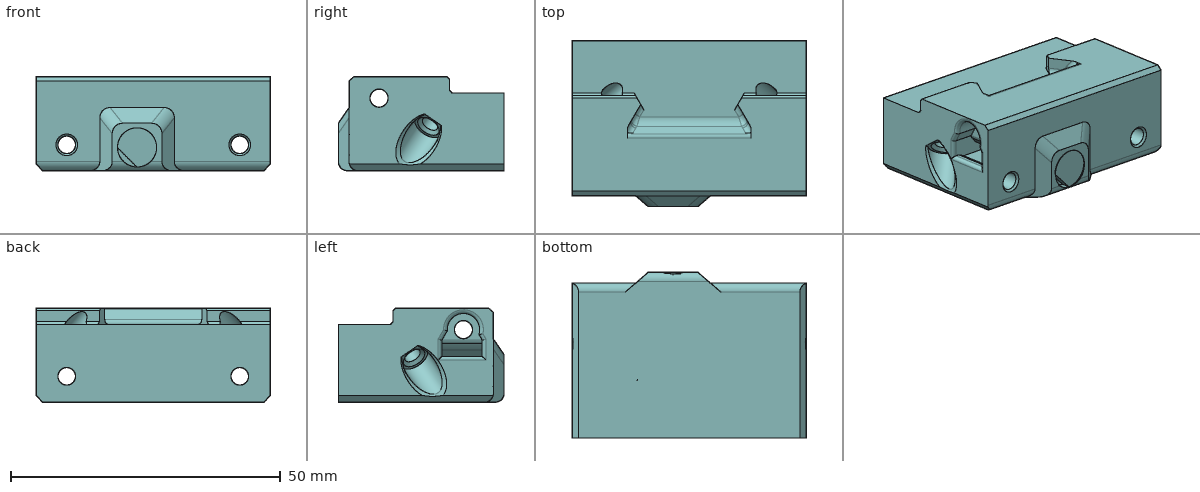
import cadquery as cq
import math

length = 43.45
depth = 28.75
height = 17.45
front_bottom_radius = 1.7
side_chamfer_width = 1.2
side_chamfer_height = 1.3
top_chamfer_depth = 0.9
top_chamfer_height = 0.8

step_floor = 14.47
step_wall = 18.65
step_chamfer = 0.48
step_back_y = step_wall + step_chamfer

neck_half_width = 9.0
neck_y = 16.95
pocket_front_y = 10.75
flank_angle = 60.0
ramp_start_y = 14.65
ramp_angle = 52.5
ramp_foot_run = 1.75
ramp_lip_run = 0.95
flank_foot_radius = 1.0
pocket_half_width = 11.47

boss_x = -3.0
boss_height = 2.0
boss_half_width = 4.6
boss_top = 8.82
boss_side_flare = 2.3
boss_top_flare = 2.9
boss_corner_radius = 1.9
disc_diameter = 7.25
disc_z = 4.35
disc_top_depth = 0.05
disc_edge_depth = 0.3
notch_depth = 2.6
notch_chord_angle = 45.0
notch_offset = 2.6

cross_hole_diameter = 3.2
cross_hole_mouth = 4.0
cross_hole_x = 16.05
cross_hole_z = 4.82

screw_hole_diameter = 3.2
screw_countersink_diameter = 4.5
screw_bore_diameter = 5.75
screw_mouth_y = 12.9
screw_mouth_z = 5.6
screw_turn_angle = 39.7
screw_rise_angle = 43.0
screw_bore_depth = 3.85
screw_mouth_chamfer = 0.5

long_hole_diameter = 3.3
long_hole_y = 5.55
long_hole_z = 13.47
recess_arc_radius = 3.0
recess_shoulder_z = 11.5
recess_base_y = 5.82
recess_half_width = 3.75
recess_shoulder_angle = 60.0
recess_sill = 8.5
recess_sill_depth = 1.4
recess_floor = 8.0
recess_floor_start = 2.6
recess_depth = 4.48
recess_mouth_radius = 0.7
undercut_angle = 60.0
undercut_edge_radius = 0.7
undercut_start_angle = 30.0
undercut_radius = 3.2


def extrude_along_x(profile):
    """Extrude a YZ outline over the full length of the body."""
    return profile.extrude(length / 2, both=True)


def make_cylinder(start, direction, diameter, reach):
    cylinder = cq.Solid.makeCylinder(diameter / 2, reach, cq.Vector(*start), cq.Vector(*direction))
    return cq.Workplane(cylinder)


def make_body():
    profile = (
        cq.Workplane("YZ")
        .moveTo(0, 0)
        .lineTo(depth, 0)
        .lineTo(depth, step_floor)
        .lineTo(step_back_y, step_floor)
        .lineTo(step_wall, step_floor + step_chamfer)
        .lineTo(step_wall, height - step_chamfer)
        .lineTo(step_wall - step_chamfer, height)
        .lineTo(top_chamfer_depth, height)
        .lineTo(0, height - top_chamfer_height)
        .close()
    )
    return extrude_along_x(profile).edges("<Y and <Z").fillet(front_bottom_radius)


def make_side_chamfer_cutter():
    """Bevel along the bottom edge of the left side."""
    side_x = -length / 2
    outline = [(side_x, 0), (side_x + side_chamfer_width, 0), (side_x, side_chamfer_height)]
    return cq.Workplane("XZ").polyline(outline).close().extrude(-depth)


def flank_half_width(y, widening):
    """Half width between flanks through the neck, growing toward +Y (1) or toward -Y (-1)."""
    return neck_half_width + widening * (y - neck_y) / math.tan(math.radians(flank_angle))


def make_flank_wedge(near_y, widening, top):
    """Vertical prism between a pair of flanks, from the given y back to the step."""
    near_half = flank_half_width(near_y, widening)
    far_half = flank_half_width(step_back_y, widening)
    outline = [(-near_half, near_y), (near_half, near_y), (far_half, step_back_y), (-far_half, step_back_y)]
    return cq.Workplane("XY", origin=(0, 0, step_floor)).polyline(outline).close().extrude(top - step_floor)


def make_dovetail_cutter():
    angle = math.radians(ramp_angle)
    foot_radius = ramp_foot_run / math.sin(angle)
    foot_mid = (
        ramp_start_y - foot_radius * math.sin(angle / 2),
        step_floor + foot_radius * (1 - math.cos(angle / 2)),
    )
    foot_end_y = ramp_start_y - ramp_foot_run
    foot_end_z = step_floor + foot_radius * (1 - math.cos(angle))
    lip_radius = ramp_lip_run / math.sin(angle)
    lip_mid = (
        pocket_front_y + lip_radius * math.sin(angle / 2),
        height - lip_radius * (1 - math.cos(angle / 2)),
    )
    lip_start_y = pocket_front_y + ramp_lip_run
    lip_start_z = foot_end_z + (foot_end_y - lip_start_y) * math.tan(angle)
    ramp_end_z = foot_end_z + foot_end_y * math.tan(angle)

    ramp = extrude_along_x(
        cq.Workplane("YZ")
        .moveTo(step_back_y, step_floor)
        .lineTo(ramp_start_y, step_floor)
        .threePointArc(foot_mid, (foot_end_y, foot_end_z))
        .lineTo(0, ramp_end_z)
        .lineTo(step_back_y, ramp_end_z)
        .close()
    )
    cutter = make_flank_wedge(0, -1, ramp_end_z).intersect(ramp)
    cutter = cutter.edges("(not #X) and (not |X) and (not >Z) and (not |Z)").fillet(flank_foot_radius)

    ends = cq.Workplane("XY").box(2 * pocket_half_width, depth, 2 * height, centered=(True, False, True))
    lip = (
        cq.Workplane("YZ")
        .moveTo(lip_start_y, lip_start_z)
        .threePointArc(lip_mid, (pocket_front_y, height))
        .lineTo(lip_start_y, height)
        .close()
        .extrude(pocket_half_width, both=True)
    )
    return cutter.intersect(ends).union(lip)


def make_neck_cutter():
    return make_flank_wedge(neck_y - flank_foot_radius, 1, height)


def make_boss_section(y):
    """Outline of the boss at the given y: square at the bottom, rounded at the two top corners."""
    flare = (y + boss_height) / boss_height
    half_width = boss_half_width + boss_side_flare * flare
    top = boss_top + boss_top_flare * flare
    radius = boss_corner_radius
    bevel = radius * (1 - math.sqrt(0.5))
    section = (
        cq.Workplane("XZ", origin=(boss_x, y, 0))
        .moveTo(-half_width, 0)
        .lineTo(half_width, 0)
        .lineTo(half_width, top - radius)
        .threePointArc((half_width - bevel, top - bevel), (half_width - radius, top))
        .lineTo(radius - half_width, top)
        .threePointArc((bevel - half_width, top - bevel), (-half_width, top - radius))
        .close()
    )
    return section.val()


def make_boss():
    """Flared boss whose sides carry on into the body behind the front face."""
    root_y = front_bottom_radius
    sections = [make_boss_section(root_y), make_boss_section(-boss_height)]
    boss = cq.Workplane(cq.Solid.makeLoft(sections, True))
    envelope = (
        cq.Workplane("XY", origin=(0, -boss_height, 0))
        .box(length, boss_height + root_y, height, centered=(True, False, False))
        .edges("<Y and <Z")
        .fillet(front_bottom_radius)
    )
    return boss.intersect(envelope)


def make_disc_cutter():
    """Shallow round recess in the boss face with a leaning floor."""
    radius = disc_diameter / 2
    front_y = -boss_height - disc_edge_depth
    lean = extrude_along_x(
        cq.Workplane("YZ")
        .moveTo(front_y, disc_z + radius)
        .lineTo(disc_top_depth - boss_height, disc_z + radius)
        .lineTo(disc_edge_depth - boss_height, disc_z - radius)
        .lineTo(front_y, disc_z - radius)
        .close()
    )
    return make_cylinder((boss_x, front_y, disc_z), (0, 1, 0), disc_diameter, boss_height).intersect(lean)


def make_notch_cutter():
    """Deeper segment of the round recess, cut off by a slanting chord at its lower left."""
    corner = (
        cq.Workplane("XZ", origin=(boss_x, 0, disc_z))
        .transformed(rotate=(0, 0, -notch_chord_angle))
        .center(0, -notch_offset - disc_diameter / 2)
        .rect(disc_diameter, disc_diameter)
        .extrude(2 * boss_height)
    )
    reach = boss_height + notch_depth
    start = (boss_x, -2 * boss_height, disc_z)
    return make_cylinder(start, (0, 1, 0), disc_diameter, reach).intersect(corner)


def make_cross_hole_cutter(x):
    """Through hole along Y with a countersunk mouth at the front."""
    start = (x, 0, cross_hole_z)
    bore = make_cylinder(start, (0, 1, 0), cross_hole_diameter, depth)
    mouth_depth = (cross_hole_mouth - cross_hole_diameter) / 2
    mouth = cq.Solid.makeCone(
        cross_hole_mouth / 2, cross_hole_diameter / 2, mouth_depth, cq.Vector(*start), cq.Vector(0, 1, 0)
    )
    return bore.union(cq.Workplane(mouth))


def make_screw_hole_cutter():
    """Angled hole from the left side: a wide bore, a countersink in its floor, then the hole."""
    mouth = cq.Vector(-length / 2, screw_mouth_y, screw_mouth_z)
    turn = math.radians(screw_turn_angle)
    rise = math.radians(screw_rise_angle)
    axis = cq.Vector(math.cos(rise) * math.cos(turn), math.cos(rise) * math.sin(turn), math.sin(rise))
    hole = make_cylinder(mouth.toTuple(), axis.toTuple(), screw_hole_diameter, depth)
    bore_start = mouth - axis * screw_bore_diameter
    bore = make_cylinder(
        bore_start.toTuple(), axis.toTuple(), screw_bore_diameter, screw_bore_diameter + screw_bore_depth
    )
    countersink_depth = (screw_countersink_diameter - screw_hole_diameter) / 2
    countersink = cq.Solid.makeCone(
        screw_countersink_diameter / 2,
        screw_hole_diameter / 2,
        countersink_depth,
        mouth + axis * screw_bore_depth,
        axis,
    )
    return hole.union(bore).union(cq.Workplane(countersink))


def arc_down_and_inward(start, radius, from_angle, to_angle):
    """Middle and end of an XZ arc that leans from one overhang angle to another, in degrees."""

    def point(degrees):
        angle = math.radians(degrees)
        first = math.radians(from_angle)
        run = radius * (math.cos(first) - math.cos(angle))
        drop = radius * (math.sin(angle) - math.sin(first))
        return (start[0] + run, start[1] - drop)

    return point((from_angle + to_angle) / 2), point(to_angle)


def make_recess_cutter():
    """Keyhole recess in the left side: a sill at the mouth, and an end wall undercut down to the floor."""
    side_x = -length / 2
    edge_start = (side_x + recess_depth, recess_shoulder_z)
    edge_mid, edge_end = arc_down_and_inward(edge_start, undercut_edge_radius, 0, undercut_angle)
    hollow_mid, hollow_end = arc_down_and_inward(
        edge_end, undercut_radius, undercut_start_angle, undercut_angle
    )
    floor_end_x = hollow_end[0] + (hollow_end[1] - recess_floor) * math.tan(math.radians(undercut_angle))
    lengthwise = (
        cq.Workplane("XZ")
        .moveTo(side_x, recess_sill)
        .lineTo(side_x + recess_sill_depth, recess_sill)
        .lineTo(side_x + recess_floor_start, recess_floor)
        .lineTo(floor_end_x, recess_floor)
        .lineTo(*hollow_end)
        .threePointArc(hollow_mid, edge_end)
        .threePointArc(edge_mid, edge_start)
        .lineTo(edge_start[0], height)
        .lineTo(side_x, height)
        .close()
        .extrude(-depth)
    )
    shoulder_run = (long_hole_z - recess_shoulder_z) / math.tan(math.radians(recess_shoulder_angle))
    right_y = recess_base_y - recess_half_width
    left_y = recess_base_y + recess_half_width
    base_outline = [
        (right_y, recess_floor),
        (left_y, recess_floor),
        (left_y, recess_shoulder_z),
        (left_y - shoulder_run, long_hole_z),
        (right_y + shoulder_run, long_hole_z),
        (right_y, recess_shoulder_z),
    ]
    base = cq.Workplane("YZ", origin=(side_x, 0, 0)).polyline(base_outline).close().extrude(length / 2)
    crown = make_cylinder((side_x, long_hole_y, long_hole_z), (1, 0, 0), 2 * recess_arc_radius, length / 2)
    keyhole = base.union(crown)
    return keyhole.intersect(lengthwise)


def select_recess_mouth():
    """Edges of the recess that lie in the left side face."""
    margin = recess_mouth_radius / 2
    side_x = -length / 2
    low = (side_x - margin, recess_base_y - recess_half_width - margin, recess_sill - margin)
    high = (side_x + margin, recess_base_y + recess_half_width + margin, height - margin)
    return cq.selectors.BoxSelector(low, high)


result = make_body()
result = result.cut(make_dovetail_cutter()).cut(make_neck_cutter())

screw_hole = make_screw_hole_cutter()
result = result.cut(screw_hole).faces("<X").edges("%ELLIPSE").chamfer(screw_mouth_chamfer)
result = result.cut(screw_hole.mirror("YZ")).faces(">X").edges("%ELLIPSE").chamfer(screw_mouth_chamfer)
result = result.cut(make_recess_cutter())
result = result.edges(select_recess_mouth()).fillet(recess_mouth_radius)
side_chamfer = make_side_chamfer_cutter()
result = result.cut(side_chamfer).cut(side_chamfer.mirror("YZ"))

result = result.union(make_boss()).cut(make_disc_cutter()).cut(make_notch_cutter())
for x in (-cross_hole_x, cross_hole_x):
    result = result.cut(make_cross_hole_cutter(x))
long_start = (-length / 2, long_hole_y, long_hole_z)
result = result.cut(make_cylinder(long_start, (1, 0, 0), long_hole_diameter, length))